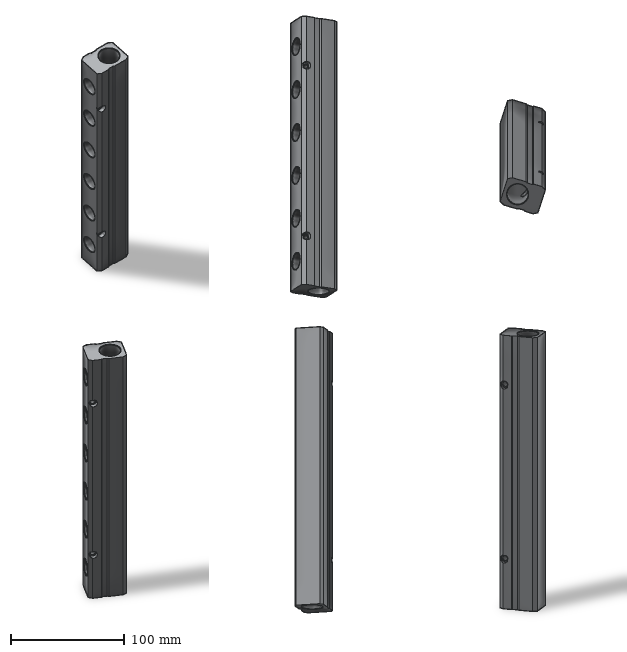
import cadquery as cq

WIDTH = 26.2
DEPTH = 35.0
LENGTH = 250.0
HALF_WIDTH = WIDTH / 2
FRONT = -DEPTH / 2
BACK = DEPTH / 2

BEVEL_X = 2.2
BEVEL_Y = 3.8

GROOVE_DEPTH = 0.8
GROOVE_BACK_EDGE = BACK - 16.5
GROOVE_BACK_FLOOR = BACK - 18.0
GROOVE_FRONT_FLOOR = BACK - 22.8
GROOVE_FRONT_EDGE = BACK - 23.5

BORE_DIAMETER = 18.5
BORE_Y = BACK - 12.8

PORT_COUNT = 6
PORT_PITCH = 40.0
PORT_DIAMETER = 15.0
FIRST_PORT_Z = (LENGTH - (PORT_COUNT - 1) * PORT_PITCH) / 2

MOUTH_CHAMFER = 0.5

MOUNT_DIAMETER = 4.5
MOUNT_Y = FRONT + 4.5
MOUNT_END_DISTANCE = 45.5
COUNTERBORE_DIAMETER = 7.0
COUNTERBORE_DEPTH = 4.0


def make_bar():
    """Extrude the bevelled and grooved cross-section."""
    right_side = [
        (HALF_WIDTH - BEVEL_X, FRONT),
        (HALF_WIDTH, FRONT + BEVEL_Y),
        (HALF_WIDTH, GROOVE_FRONT_EDGE),
        (HALF_WIDTH - GROOVE_DEPTH, GROOVE_FRONT_FLOOR),
        (HALF_WIDTH - GROOVE_DEPTH, GROOVE_BACK_FLOOR),
        (HALF_WIDTH, GROOVE_BACK_EDGE),
        (HALF_WIDTH, BACK - BEVEL_Y),
        (HALF_WIDTH - BEVEL_X, BACK),
    ]
    left_side = [(-x, y) for x, y in reversed(right_side)]
    return cq.Workplane("XY").polyline(right_side + left_side).close().extrude(LENGTH)


def drill(diameter, depth, start, direction):
    """Cylinder that cuts a straight hole."""
    return cq.Solid.makeCylinder(diameter / 2, depth, cq.Vector(*start), cq.Vector(*direction))


def countersink(diameter, start, direction):
    """Cone that chamfers the mouth of a hole, widest at start."""
    radius = diameter / 2
    return cq.Solid.makeCone(
        radius + MOUTH_CHAMFER, radius, MOUTH_CHAMFER, cq.Vector(*start), cq.Vector(*direction)
    )


result = make_bar()

result = result.cut(drill(BORE_DIAMETER, LENGTH, (0, BORE_Y, 0), (0, 0, 1)))
result = result.cut(countersink(BORE_DIAMETER, (0, BORE_Y, 0), (0, 0, 1)))
result = result.cut(countersink(BORE_DIAMETER, (0, BORE_Y, LENGTH), (0, 0, -1)))

for index in range(PORT_COUNT):
    mouth = (0, FRONT, FIRST_PORT_Z + index * PORT_PITCH)
    result = result.cut(drill(PORT_DIAMETER, BORE_Y - FRONT, mouth, (0, 1, 0)))
    result = result.cut(countersink(PORT_DIAMETER, mouth, (0, 1, 0)))

for mount_z in (MOUNT_END_DISTANCE, LENGTH - MOUNT_END_DISTANCE):
    result = result.cut(drill(MOUNT_DIAMETER, WIDTH, (-HALF_WIDTH, MOUNT_Y, mount_z), (1, 0, 0)))
    head_mouth = (HALF_WIDTH, MOUNT_Y, mount_z)
    result = result.cut(drill(COUNTERBORE_DIAMETER, COUNTERBORE_DEPTH, head_mouth, (-1, 0, 0)))